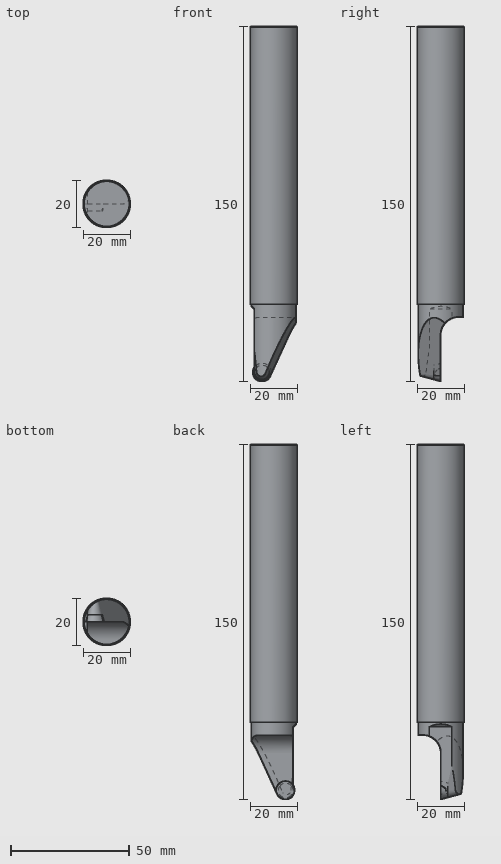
import cadquery as cq
import math

TOTAL_LENGTH = 150.0
SHANK_DIAMETER = 20.0
SHANK_BOTTOM_Z = 32.5
TOP_CHAMFER = 0.5

NECK_DIAMETER = 19.0
NECK_RADIUS = NECK_DIAMETER / 2
SIDE_FLAT_X = -8.2
SIDE_FLAT_TOP_Z = 30.6
RELIEF_CEILING_Z = 27.2
RELIEF_RADIUS = 7.5

INSERT_RADIUS = 3.9
CLEARANCE_ANGLE = 15.0
CLEARANCE_SLOPE = math.tan(math.radians(CLEARANCE_ANGLE))
INSERT_THICKNESS = 3.0
INSERT_X = -5.0
INSERT_Z = INSERT_RADIUS

LEFT_FLANK_ANGLE = 3.7
RIGHT_FLANK_ANGLE = 24.7
FLANK_LENGTH = 60.0
MARGIN = 7.5


def nose_point(radius, angle):
    """Point on the round nose, with the angle measured from +X towards +Z."""
    turn = math.radians(angle)
    return (INSERT_X + radius * math.cos(turn), INSERT_Z + radius * math.sin(turn))


def flank_end(start, lean):
    """Upper end of a flank leaning towards +X by the given angle."""
    turn = math.radians(lean)
    return (start[0] + FLANK_LENGTH * math.sin(turn), start[1] + FLANK_LENGTH * math.cos(turn))


def make_flank_wedge():
    """Two flanks joined by the round nose, narrowing from +Y to -Y across the whole neck."""
    wide_radius = INSERT_RADIUS + NECK_RADIUS * CLEARANCE_SLOPE
    left = nose_point(wide_radius, 180 + LEFT_FLANK_ANGLE)
    right = nose_point(wide_radius, -RIGHT_FLANK_ANGLE)
    return (
        cq.Workplane("XZ", origin=(0, NECK_RADIUS, 0))
        .moveTo(*flank_end(left, -LEFT_FLANK_ANGLE))
        .lineTo(*left)
        .threePointArc(nose_point(wide_radius, -90), right)
        .lineTo(*flank_end(right, RIGHT_FLANK_ANGLE))
        .close()
        .extrude(NECK_DIAMETER, taper=CLEARANCE_ANGLE)
    )


def make_neck():
    neck = cq.Workplane("XY").circle(NECK_RADIUS).extrude(SHANK_BOTTOM_Z)

    outer_x = SIDE_FLAT_X - MARGIN
    side_cut = (
        cq.Workplane("XZ")
        .moveTo(SIDE_FLAT_X, -MARGIN)
        .lineTo(SIDE_FLAT_X, SIDE_FLAT_TOP_Z)
        .lineTo(outer_x, SIDE_FLAT_TOP_Z + MARGIN)
        .lineTo(outer_x, -MARGIN)
        .close()
        .extrude(SHANK_DIAMETER, both=True)
    )

    arc_middle = RELIEF_RADIUS * (1 - math.sqrt(0.5))
    back_y = NECK_RADIUS + MARGIN
    chip_relief = (
        cq.Workplane("YZ")
        .moveTo(0, -MARGIN)
        .lineTo(0, RELIEF_CEILING_Z - RELIEF_RADIUS)
        .threePointArc((arc_middle, RELIEF_CEILING_Z - arc_middle), (RELIEF_RADIUS, RELIEF_CEILING_Z))
        .lineTo(back_y, RELIEF_CEILING_Z)
        .lineTo(back_y, -MARGIN)
        .close()
        .extrude(SHANK_DIAMETER, both=True)
    )

    return neck.intersect(make_flank_wedge()).cut(side_cut).cut(chip_relief)


def make_insert():
    back_radius = INSERT_RADIUS - INSERT_THICKNESS * CLEARANCE_SLOPE
    return cq.Workplane(
        cq.Solid.makeCone(
            INSERT_RADIUS,
            back_radius,
            INSERT_THICKNESS,
            pnt=cq.Vector(INSERT_X, 0, INSERT_Z),
            dir=cq.Vector(0, -1, 0),
        )
    )


def make_bar(insert):
    """Shank and neck in one piece, with a seat that matches the insert."""
    shank = (
        cq.Workplane("XY")
        .workplane(offset=SHANK_BOTTOM_Z)
        .circle(SHANK_DIAMETER / 2)
        .extrude(TOTAL_LENGTH - SHANK_BOTTOM_Z)
        .faces(">Z")
        .chamfer(TOP_CHAMFER)
    )
    return shank.union(make_neck()).cut(insert)


insert = make_insert()
bar = make_bar(insert)
result = cq.Compound.makeCompound([*bar.vals(), insert.val()])